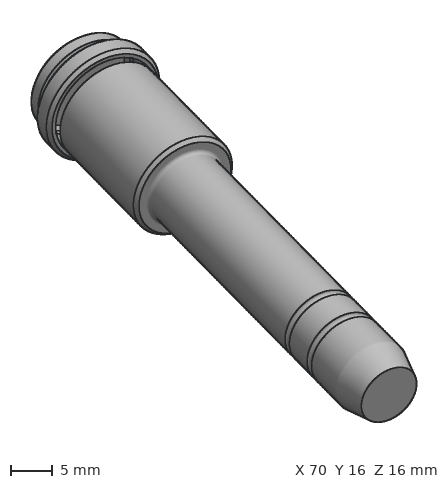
import cadquery as cq

total_length = 70.0
body_end = 24.0
flange_start = 3.0
flange_end = 6.0
tip_length = 4.0

flange_radius = 16.0 / 2
body_radius = 14.0 / 2
shaft_radius = 10.0 / 2
tip_radius = 7.85 / 2

edge_chamfer = 0.5
root_fillet = 0.5
groove_radius = 0.5
shaft_groove_centers = (55.0, 60.0)
body_groove_centers = (flange_start - groove_radius, flange_end + groove_radius)


def cylinder(start, end, radius):
    """Solid cylinder along X between two stations."""
    return cq.Workplane("YZ", origin=(start, 0, 0)).circle(radius).extrude(end - start)


def ring_groove(center, surface_radius):
    """Ring that cuts a semicircular groove centered on a cylindrical surface."""
    return (
        cq.Workplane("XY")
        .center(center, surface_radius)
        .circle(groove_radius)
        .revolve(360, (0, -surface_radius, 0), (1, -surface_radius, 0))
    )


def make_shaft():
    """Shaft with a conical lead-in tip and a concave fillet at the body shoulder."""
    return (
        cq.Workplane("XY")
        .moveTo(body_end, 0)
        .lineTo(body_end, shaft_radius + root_fillet)
        .radiusArc((body_end + root_fillet, shaft_radius), -root_fillet)
        .lineTo(total_length - tip_length, shaft_radius)
        .lineTo(total_length, tip_radius)
        .lineTo(total_length, 0)
        .close()
        .revolve(360, (0, 0, 0), (1, 0, 0))
    )


body = cylinder(0, body_end, body_radius).edges().chamfer(edge_chamfer)
for groove_center in body_groove_centers:
    body = body.cut(ring_groove(groove_center, body_radius))

flange = cylinder(flange_start, flange_end, flange_radius).edges().chamfer(edge_chamfer)

shaft = make_shaft()
for groove_center in shaft_groove_centers:
    shaft = shaft.cut(ring_groove(groove_center, shaft_radius))

result = body.union(flange).union(shaft)